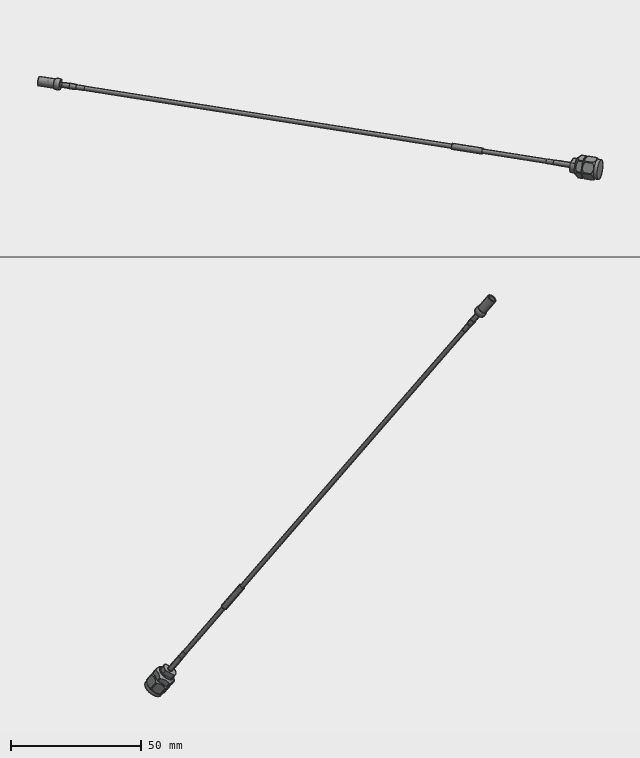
import cadquery as cq

overall_length = 225.63

barrel_radius = 1.85
barrel_length = 6.4
socket_radius = 1.34
socket_depth = 4.0
flange_radius = 2.24
flange_width = 2.3
flange_taper_width = 0.8
flange_taper_drop = 0.2
neck_radius = 0.95
neck_length = 0.7

tip_radius = 0.98

ferrule_radius = 1.03
ferrule_length = 3.1
ferrule_taper_drop = 0.1
ferrule_taper_width = 0.7
lip_radius = 1.1
lip_straight = 1.5
lip_taper = 0.8
lip_land = 0.3

cable_radius = 0.85
cable_setback = 0.18
collar_radius = 0.92
left_collar_length = 3.4
right_collar_start = 204.2
right_collar_length = 2.9
marker_radius = 1.2
marker_start = 166.2
marker_length = 12.2

nose_straight = 1.1
nose_taper = 1.36
tail_radius = 1.022
shoulder_start = 214.3
shoulder_radius = 2.9
shoulder_width = 2.0
shoulder_across_flats = 4.3

hex_across_flats = 7.92
hex_corner_radius = 4.44
nut_back_radius = 3.36
nut_back_band = 0.2
first_hex_length = 2.8
groove_root_radius = 3.5
front_radius = 3.88
front_length = 1.4
front_chamfer_length = 0.75

flange_start = barrel_length
flange_end = flange_start + flange_width
ferrule_start = flange_end + neck_length
lip_start = ferrule_start + ferrule_length
lip_taper_start = lip_start + lip_straight
lip_taper_end = lip_taper_start + lip_taper
left_collar_start = lip_taper_end + lip_land
right_collar_end = right_collar_start + right_collar_length
nose_taper_start = right_collar_end + nose_straight
nose_taper_end = nose_taper_start + nose_taper
nut_start = shoulder_start + shoulder_width
nut_cone_start = nut_start + nut_back_band
groove_start = nut_cone_start + first_hex_length
front_start = overall_length - front_length
cable_start = ferrule_start
cable_end = shoulder_start - cable_setback


def turned(outline):
    """Solid of revolution about X from (x, radius) points running from end to end."""
    points = [(outline[0][0], 0), *outline, (outline[-1][0], 0)]
    return cq.Workplane("XY").polyline(points).close().revolve(360, (0, 0, 0), (1, 0, 0))


def rod(start, end, radius):
    return turned([(start, radius), (end, radius)])


def sleeve(start, length, radius):
    """Tube fitted closely around the cable."""
    end = start + length
    return rod(start, end, radius).cut(rod(start, end, cable_radius))


def make_plug():
    edge_radius = flange_radius - flange_taper_drop
    body = turned([
        (0, barrel_radius),
        (flange_start, barrel_radius),
        (flange_start, edge_radius),
        (flange_start + flange_taper_width, flange_radius),
        (flange_end - flange_taper_width, flange_radius),
        (flange_end, edge_radius),
        (flange_end, neck_radius),
        (ferrule_start, neck_radius),
    ])
    return body.cut(rod(0, socket_depth, socket_radius))


def make_ferrule():
    body = turned([
        (ferrule_start, ferrule_radius - ferrule_taper_drop),
        (ferrule_start + ferrule_taper_width, ferrule_radius),
        (lip_start, ferrule_radius),
        (lip_start, lip_radius),
        (lip_taper_start, lip_radius),
        (lip_taper_end, tip_radius),
        (left_collar_start, tip_radius),
    ])
    return body.cut(rod(ferrule_start, left_collar_start, cable_radius))


def make_jack_body():
    shoulder = rod(shoulder_start, nut_start, shoulder_radius)
    flats = cq.Workplane("XY").box(
        shoulder_width, 2 * shoulder_radius, shoulder_across_flats
    ).translate((shoulder_start + shoulder_width / 2, 0, 0))
    tail = turned([
        (right_collar_end, tip_radius),
        (nose_taper_start, tip_radius),
        (nose_taper_end, tail_radius),
        (shoulder_start, tail_radius),
    ])
    cable_hole = rod(right_collar_end, cable_end, cable_radius)
    return shoulder.intersect(flats).union(tail).cut(cable_hole)


def make_nut():
    """Hexagon bar cut to a turned outline with 45 degree cones facing the cable."""
    outline = turned([
        (nut_start, nut_back_radius),
        (nut_cone_start, nut_back_radius),
        (nut_cone_start + hex_corner_radius - nut_back_radius, hex_corner_radius),
        (groove_start, hex_corner_radius),
        (groove_start, groove_root_radius),
        (groove_start + hex_corner_radius - groove_root_radius, hex_corner_radius),
        (front_start - front_chamfer_length, hex_corner_radius),
        (front_start, front_radius),
        (overall_length, front_radius),
    ])
    hex_bar = (
        cq.Workplane("YZ", origin=(nut_start, 0, 0))
        .polygon(6, hex_across_flats, circumscribed=True)
        .extrude(overall_length - nut_start)
        .rotate((0, 0, 0), (1, 0, 0), 90)
    )
    return outline.intersect(hex_bar)


plug = make_plug()
ferrule = make_ferrule()
cable = rod(cable_start, cable_end, cable_radius)
marker_sleeve = sleeve(marker_start, marker_length, marker_radius)
collars = [
    sleeve(left_collar_start, left_collar_length, collar_radius),
    sleeve(right_collar_start, right_collar_length, collar_radius),
]
jack_body = make_jack_body()
nut = make_nut()

result = cq.Compound.makeCompound([
    plug.val(),
    ferrule.val(),
    cable.val(),
    marker_sleeve.val(),
    *[collar.val() for collar in collars],
    jack_body.val(),
    nut.val(),
])